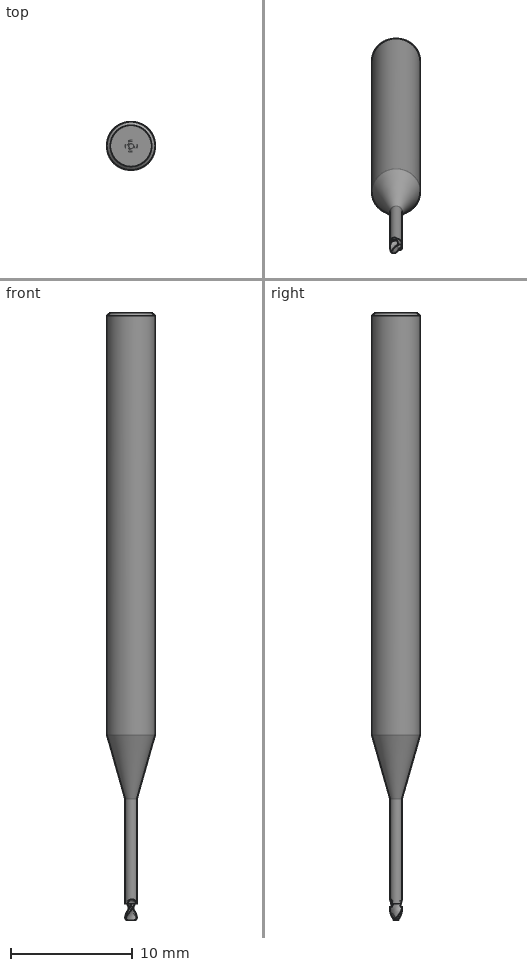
import cadquery as cq
import math

total_length = 50.0
shank_radius = 2.0
top_chamfer_width = 0.3
top_chamfer_height = 0.25
cone_top_z = 15.25
neck_top_z = 10.0
neck_radius = 0.5
head_length = 1.35

cutter_radius = neck_radius
corner_radius = 0.25
edge_length = 1.1
relief_radius = 0.4
helix_pitch = 4.0
bar_radius = 0.65
web_thickness = 0.4
land_angle = 12.0

runout_radius = 0.4
runout_depth = 0.3
runout_angles = (-80.0, 100.0)


def polar(radius, angle):
    """Point at a radius and an angle in degrees."""
    turn = math.radians(angle)
    return (radius * math.cos(turn), radius * math.sin(turn))


def make_shank():
    """Shank, cone and neck turned as one body, with the flute run-outs cut into the neck."""
    shank = (
        cq.Workplane("YZ")
        .moveTo(0, head_length)
        .lineTo(-neck_radius, head_length)
        .lineTo(-neck_radius, neck_top_z)
        .lineTo(-shank_radius, cone_top_z)
        .lineTo(-shank_radius, total_length - top_chamfer_height)
        .lineTo(-shank_radius + top_chamfer_width, total_length)
        .lineTo(0, total_length)
        .close()
        .revolve(360, (0, 0), (0, 1))
    )
    scoop_distance = neck_radius - runout_depth + runout_radius
    for angle in runout_angles:
        x, y = polar(scoop_distance, angle)
        shank = shank.cut(cq.Workplane("XY").sphere(runout_radius).translate((x, y, head_length)))
    return shank


def make_cutting_head():
    """Twisted two-flute bar trimmed to a round-cornered envelope."""
    half_land = land_angle / 2
    half_web = web_thickness / 2
    fluted_bar = (
        cq.Workplane("XY")
        .moveTo(*polar(bar_radius, -half_land))
        .threePointArc((bar_radius, 0), polar(bar_radius, half_land))
        .threePointArc((0, half_web), polar(bar_radius, 180 - half_land))
        .threePointArc((-bar_radius, 0), polar(bar_radius, 180 + half_land))
        .threePointArc((0, -half_web), polar(bar_radius, -half_land))
        .close()
        .twistExtrude(head_length, 360 * head_length / helix_pitch)
    )
    envelope = (
        cq.Workplane("YZ")
        .moveTo(0, 0)
        .lineTo(-cutter_radius + corner_radius, 0)
        .radiusArc((-cutter_radius, corner_radius), corner_radius)
        .lineTo(-cutter_radius, edge_length)
        .lineTo(-relief_radius, edge_length)
        .lineTo(-relief_radius, head_length)
        .lineTo(0, head_length)
        .close()
        .revolve(360, (0, 0), (0, 1))
    )
    return fluted_bar.intersect(envelope)


shank = make_shank()
cutting_head = make_cutting_head()
result = cq.Compound.makeCompound([shank.val(), cutting_head.val()])